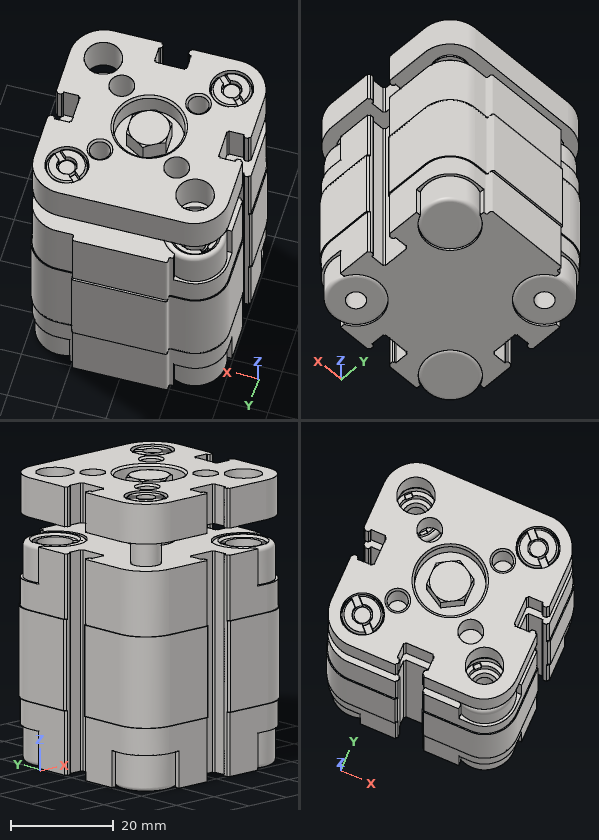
import cadquery as cq
import math

total_height = 58.0
plate_thickness = 8.0
housing_height = 44.55
plate_bottom = total_height - plate_thickness

end_width = 39.55
band_width = 40.0
corner_centre = 13.05
plate_width = 39.55
plate_corner_radius = 7.0
band_bottom = 13.0
band_top = 31.4

ridge_width = 19.4
end_ridge_height = 1.35
band_ridge_height = 1.5
ridge_top_round = 0.4
ridge_base_round = 0.3

slot_mouth_width = 5.2
slot_inner_width = 6.5
slot_depth = 4.9
slot_lip = 1.5
slot_lip_outer_round = 0.4
slot_lip_inner_round = 0.3
slot_floor_round = 0.35

corner_offset = 13.0
small_hole_offset = 7.8
rod_corners = [(-corner_offset, -corner_offset), (corner_offset, corner_offset)]
screw_corners = [(-corner_offset, corner_offset), (corner_offset, -corner_offset)]
threaded_spots = [(-small_hole_offset, -small_hole_offset), (small_hole_offset, small_hole_offset)]
clearance_spots = [(-small_hole_offset, small_hole_offset), (small_hole_offset, -small_hole_offset)]

collar_diameter = 12.5
collar_top_round = 1.0
collar_bottom_round = 0.8
notch_height = 7.5
notch_inner_edge = 10.5
collar_mouth_diameter = 10.0
collar_bore_diameter = 9.0
screw_seat_diameter = 7.2
screw_seat_depth = 2.9
screw_cone_diameter = 5.45
screw_hole_diameter = 4.1

driver_slot_width = 1.5
driver_slot_depth = 1.15
driver_slot_angle = -45.0

piston_diameter = 10.0
wrench_flats = 9.0
wrench_flat_bottom = 45.7
rod_insertion = 17.4
hexagon_sides = 6
hexagon_flats = 8.0
hexagon_top = 57.6
hexagon_top_diameter = 8.1
hexagon_bevel_angle = 30.0

guide_diameter = 6.0
nut_diameter = 8.0
nut_drop = 0.45
nut_top_diameter = 7.2
nut_recess = 0.25
nut_hole_diameter = 8.5
stud_diameter = 4.0
stud_top_diameter = 3.25
stud_recess = 0.75

recess_diameter = 14.0
recess_depth = 4.75
recess_bevel = 0.45
access_hole_diameter = 7.5
small_hole_diameter = 5.0
thread_diameter = 4.1


def rounded_square(width, radius, height, bottom):
    block = cq.Workplane("XY").workplane(offset=bottom).rect(width, width).extrude(height)
    return block.edges("|Z").fillet(radius)


def cylinder(diameter, bottom, top, spot=(0, 0)):
    plane = cq.Workplane("XY").workplane(offset=bottom)
    return plane.center(*spot).circle(diameter / 2).extrude(top - bottom)


def cone(bottom_diameter, top_diameter, bottom, top, spot=(0, 0)):
    solid = cq.Solid.makeCone(bottom_diameter / 2, top_diameter / 2, top - bottom,
                              pnt=cq.Vector(*spot, bottom), dir=cq.Vector(0, 0, 1))
    return cq.Workplane(solid)


def driver_slot(length, top, spot):
    """Screwdriver slot cutter running diagonally, from -X +Y to +X -Y."""
    return (
        cq.Workplane("XY").workplane(offset=top - driver_slot_depth)
        .center(*spot)
        .transformed(rotate=(0, 0, driver_slot_angle))
        .rect(length, driver_slot_width)
        .extrude(driver_slot_depth)
    )


def t_slot(width, height, bottom):
    """T-slot cutter for the -Y side of a square of the given width."""
    face = -width / 2
    outside = face - slot_lip
    lip_end = -end_width / 2 + slot_lip
    floor = -end_width / 2 + slot_depth
    mouth = slot_mouth_width / 2
    inner = slot_inner_width / 2
    outer_round = slot_lip_outer_round
    inner_round = slot_lip_inner_round
    floor_round = slot_floor_round
    profile = (
        cq.Workplane("XY").workplane(offset=bottom)
        .moveTo(0, outside)
        .lineTo(mouth + outer_round, outside)
        .lineTo(mouth + outer_round, face)
        .radiusArc((mouth, face + outer_round), -outer_round)
        .lineTo(mouth, lip_end - inner_round)
        .radiusArc((mouth + inner_round, lip_end), -inner_round)
        .lineTo(inner, lip_end)
        .lineTo(inner, floor - floor_round)
        .radiusArc((inner - floor_round, floor), floor_round)
        .lineTo(0, floor)
        .mirrorY()
    )
    return profile.extrude(height)


def cut_t_slots(block, width, height, bottom):
    for angle in (-90, 0, 90):
        block = block.cut(t_slot(width, height, bottom).rotate((0, 0, 0), (0, 0, 1), angle))
    return block


def make_ridge(face, ridge_height, height, bottom):
    """Ridge on the flat at Y = face, rounded along its top edges and flared into the flat."""
    side = ridge_width / 2
    top = face + ridge_height
    profile = (
        cq.Workplane("XY").workplane(offset=bottom)
        .moveTo(0, face)
        .lineTo(side + ridge_base_round, face)
        .radiusArc((side, face + ridge_base_round), ridge_base_round)
        .lineTo(side, top - ridge_top_round)
        .radiusArc((side - ridge_top_round, top), -ridge_top_round)
        .lineTo(0, top)
        .mirrorY()
    )
    return profile.extrude(height)


def ridged_section(width, ridge_height, bottom, top):
    """One length of the housing: slotted square with the ridge on its +Y side."""
    height = top - bottom
    face = width / 2
    block = rounded_square(width, face - corner_centre, height, bottom)
    block = cut_t_slots(block, width, height, bottom)
    return block.union(make_ridge(face, ridge_height, height, bottom))


def corner_relief(spot, at_top):
    """Material removed round a corner collar: the outer notch and the groove over its rounded edge."""
    x_sign = math.copysign(1, spot[0])
    y_sign = math.copysign(1, spot[1])
    bottom = housing_height - notch_height if at_top else 0
    top = bottom + notch_height
    edge_round = collar_top_round if at_top else collar_bottom_round
    side = band_width / 2 - notch_inner_edge
    middle = notch_inner_edge + side / 2
    box = (
        cq.Workplane("XY").workplane(offset=bottom)
        .center(x_sign * middle, y_sign * middle)
        .rect(side, side)
        .extrude(notch_height)
    )
    collar = cylinder(collar_diameter, bottom, top, spot)
    groove_bottom = top - edge_round if at_top else bottom
    groove = cylinder(collar_diameter, groove_bottom, groove_bottom + edge_round, spot)
    collar = collar.faces(">Z" if at_top else "<Z").edges().fillet(edge_round)
    return box.union(groove).cut(collar)


def screw_hole(spot):
    """Through hole in a screw collar: tapered mouth, slotted ledge, seat and countersunk hole."""
    ledge = housing_height - (collar_mouth_diameter - collar_bore_diameter) / 2
    seat = housing_height - screw_seat_depth
    cone_bottom = seat - (screw_cone_diameter - screw_hole_diameter) / 2
    slot_reach = cylinder(collar_bore_diameter, seat, ledge, spot)
    hole = cylinder(screw_hole_diameter, 0, housing_height, spot)
    hole = hole.union(cone(screw_hole_diameter, screw_cone_diameter, cone_bottom, seat, spot))
    hole = hole.union(cylinder(screw_seat_diameter, seat, ledge, spot))
    hole = hole.union(driver_slot(collar_bore_diameter, ledge, spot).intersect(slot_reach))
    return hole.union(cone(collar_bore_diameter, collar_mouth_diameter, ledge, housing_height, spot))


def make_housing():
    housing = ridged_section(end_width, end_ridge_height, 0, band_bottom)
    housing = housing.union(ridged_section(band_width, band_ridge_height, band_bottom, band_top))
    housing = housing.union(ridged_section(end_width, end_ridge_height, band_top, housing_height))
    for spot in rod_corners + screw_corners:
        housing = housing.cut(corner_relief(spot, at_top=False))
    for spot in screw_corners:
        housing = housing.cut(corner_relief(spot, at_top=True)).cut(screw_hole(spot))
    hole_bottom = housing_height - rod_insertion
    for spot in rod_corners:
        housing = housing.cut(cylinder(guide_diameter, hole_bottom, housing_height, spot))
    return housing.cut(cylinder(piston_diameter, hole_bottom, housing_height))


def make_plate():
    plate = rounded_square(plate_width, plate_corner_radius, plate_thickness, plate_bottom)
    plate = cut_t_slots(plate, plate_width, plate_thickness, plate_bottom)
    plate = plate.cut(cylinder(recess_diameter, total_height - recess_depth, total_height))
    plate = plate.cut(cone(recess_diameter, recess_diameter + 2 * recess_bevel,
                           total_height - recess_bevel, total_height))
    for spot in screw_corners:
        plate = plate.cut(cylinder(access_hole_diameter, plate_bottom, total_height, spot))
    for spot in clearance_spots:
        plate = plate.cut(cylinder(small_hole_diameter, plate_bottom, total_height, spot))
    bevel_bottom = total_height - (small_hole_diameter - thread_diameter) / 2
    for spot in threaded_spots:
        plate = plate.cut(cylinder(thread_diameter, plate_bottom, total_height, spot))
        plate = plate.cut(cone(thread_diameter, small_hole_diameter, bevel_bottom, total_height, spot))
    return plate


def make_piston_rod():
    rod_bottom = housing_height - rod_insertion
    rod_top = total_height - recess_depth
    rod = cylinder(piston_diameter, rod_bottom, rod_top)
    flat_height = plate_bottom - wrench_flat_bottom
    flats = (
        cq.Workplane("XY").workplane(offset=wrench_flat_bottom)
        .rect(piston_diameter, wrench_flats)
        .extrude(flat_height)
    )
    flat_cutter = cylinder(piston_diameter, wrench_flat_bottom, plate_bottom).cut(flats)
    rod = rod.cut(flat_cutter)
    half_corner_angle = 180 / hexagon_sides
    across_corners = hexagon_flats / math.cos(math.radians(half_corner_angle))
    hexagon = (
        cq.Workplane("XY").workplane(offset=rod_top)
        .polygon(hexagon_sides, across_corners)
        .extrude(hexagon_top - rod_top)
        .rotate((0, 0, 0), (0, 0, 1), half_corner_angle)
    )
    bevel_height = (across_corners - hexagon_top_diameter) / 2 * math.tan(math.radians(hexagon_bevel_angle))
    bevel_bottom = hexagon_top - bevel_height
    bevel = cylinder(across_corners, rod_top, bevel_bottom)
    bevel = bevel.union(cone(across_corners, hexagon_top_diameter, bevel_bottom, hexagon_top))
    return rod.union(hexagon.intersect(bevel))


def make_nut_end(spot):
    """Bevelled top of a guide rod's nut, slotted across, with the stud end sunk in its middle."""
    top = total_height - nut_recess
    bevel_bottom = top - (nut_diameter - nut_top_diameter) / 2
    slot_bottom = top - driver_slot_depth
    stud_top = top - stud_recess
    stud_shoulder = stud_top - (stud_diameter - stud_top_diameter) / 2
    nut = cylinder(nut_diameter, slot_bottom, bevel_bottom, spot)
    nut = nut.union(cone(nut_diameter, nut_top_diameter, bevel_bottom, top, spot))
    nut = nut.cut(driver_slot(nut_diameter, top, spot)).cut(cylinder(stud_diameter, slot_bottom, top, spot))
    nut = nut.union(cylinder(stud_diameter, slot_bottom, stud_shoulder, spot))
    return nut.union(cone(stud_diameter, stud_top_diameter, stud_shoulder, stud_top, spot))


def add_guide_rod(carriage, spot):
    nut_bottom = plate_bottom - nut_drop
    nut_end_bottom = total_height - nut_recess - driver_slot_depth
    carriage = carriage.union(cylinder(guide_diameter, housing_height - rod_insertion, nut_bottom, spot))
    carriage = carriage.union(cylinder(nut_diameter, nut_bottom, plate_bottom, spot))
    carriage = carriage.cut(cylinder(nut_hole_diameter, nut_end_bottom, total_height, spot))
    return carriage.union(make_nut_end(spot))


def make_carriage():
    carriage = make_plate().union(make_piston_rod())
    for spot in rod_corners:
        carriage = add_guide_rod(carriage, spot)
    return carriage


housing = make_housing()
carriage = make_carriage()
result = cq.Compound.makeCompound([housing.solids().val(), carriage.solids().val()])